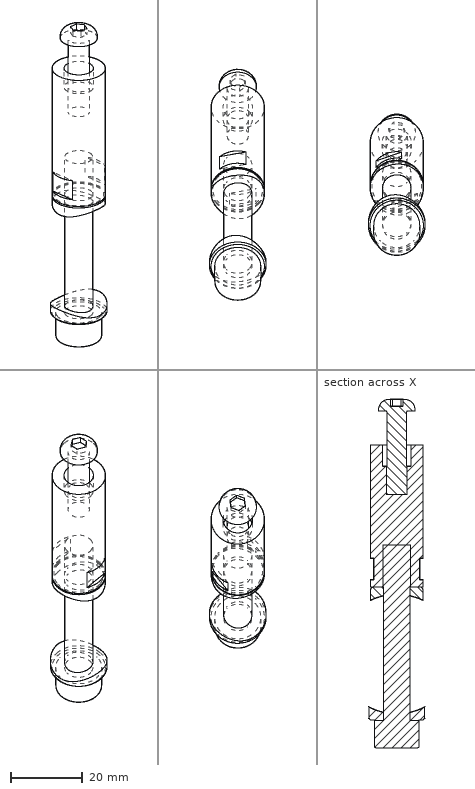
import cadquery as cq
import math

total_height = 98.2
saddle_radius = 16.8

sleeve_diameter = 15.0
sleeve_bottom = 45.4
sleeve_top = 85.3
flat_spacing = 13.0
flat_bottom = 47.4
flat_height = 6.0
top_bore_diameter = 8.2
top_bore_depth = 6.0

button_diameter = 10.5
button_height = 3.3
button_rim_height = 0.9
button_bulge = 0.6
button_shank_diameter = 6.0
button_thread_depth = 7.9
button_fillet = 0.3
hex_width = 4.0
hex_depth = 2.0
crown_flat_diameter = 5.5

cap_diameter = 13.0
cap_height = 8.0
cap_fillet = 0.8
cap_shank_diameter = 8.0
cap_thread_depth = 11.8

upper_washer_diameter = sleeve_diameter
upper_washer_thin = 2.1
lower_washer_diameter = 16.0
lower_washer_thin = 1.8
washer_chamfer = 0.5

button_seat = total_height - button_height
button_end = sleeve_top - top_bore_depth - button_thread_depth
cap_end = sleeve_bottom + cap_thread_depth


def rod(diameter, bottom, top):
    """Upright cylinder on the Z axis between two levels."""
    return cq.Workplane("XY").workplane(offset=bottom).circle(diameter / 2).extrude(top - bottom)


def make_sleeve():
    body = rod(sleeve_diameter, sleeve_bottom, sleeve_top)
    body = body.cut(rod(top_bore_diameter, sleeve_top - top_bore_depth, sleeve_top))
    body = body.cut(rod(button_shank_diameter, button_end, sleeve_top))
    body = body.cut(rod(cap_shank_diameter, sleeve_bottom, cap_end))
    for side in (-1, 1):
        recess = cq.Workplane("XY").box(
            sleeve_diameter, sleeve_diameter, flat_height, centered=(True, True, False)
        )
        body = body.cut(recess.translate((0, side * (flat_spacing + sleeve_diameter) / 2, flat_bottom)))
    return body


def make_button_screw():
    rim_radius = button_diameter / 2
    rim_top = button_seat + button_rim_height
    crown_radius = crown_flat_diameter / 2
    shank_radius = button_shank_diameter / 2
    chord_x = crown_radius - rim_radius
    chord_z = total_height - rim_top
    chord = math.hypot(chord_x, chord_z)
    arc_middle = (
        (rim_radius + crown_radius) / 2 + button_bulge * chord_z / chord,
        (rim_top + total_height) / 2 - button_bulge * chord_x / chord,
    )
    screw = (
        cq.Workplane("XZ")
        .moveTo(0, button_end)
        .lineTo(shank_radius, button_end)
        .lineTo(shank_radius, button_seat - button_fillet)
        .radiusArc((shank_radius + button_fillet, button_seat), button_fillet)
        .lineTo(rim_radius, button_seat)
        .lineTo(rim_radius, rim_top)
        .threePointArc(arc_middle, (crown_radius, total_height))
        .lineTo(0, total_height)
        .close()
        .revolve(360, (0, 0, 0), (0, 1, 0))
    )
    return cut_hex_socket(screw)


def cut_hex_socket(screw):
    hex_corner_diameter = hex_width / math.cos(math.pi / 6)
    socket = (
        cq.Workplane("XY")
        .workplane(offset=total_height - hex_depth)
        .polygon(6, hex_corner_diameter)
        .extrude(hex_depth)
        .rotate((0, 0, 0), (0, 0, 1), 30)
    )
    return screw.cut(socket)


def make_cap_screw():
    head = rod(cap_diameter, 0, cap_height).faces("<Z").edges().fillet(cap_fillet)
    return head.union(rod(cap_shank_diameter, cap_height, cap_end))


def make_saddle_washer(diameter, seat, thin, direction):
    """Washer with a chamfered flat seat and a concave saddle; direction is +1 for a saddle facing up."""
    saddle_sagitta = saddle_radius - math.sqrt(saddle_radius**2 - (diameter / 2) ** 2)
    tips = seat + direction * (thin + saddle_sagitta)
    seat_face = "<Z" if direction > 0 else ">Z"
    blank = rod(diameter, min(seat, tips), max(seat, tips)).faces(seat_face).chamfer(washer_chamfer)
    tube = (
        cq.Workplane("YZ")
        .center(0, seat + direction * (thin + saddle_radius))
        .circle(saddle_radius)
        .extrude(diameter, both=True)
    )
    bore = rod(cap_shank_diameter, cap_height, cap_end)
    return blank.cut(tube).cut(bore)


sleeve = make_sleeve()
button_screw = make_button_screw()
cap_screw = make_cap_screw()
upper_washer = make_saddle_washer(upper_washer_diameter, sleeve_bottom, upper_washer_thin, -1)
lower_washer = make_saddle_washer(lower_washer_diameter, cap_height, lower_washer_thin, 1)

result = cq.Compound.makeCompound([
    sleeve.val(),
    button_screw.val(),
    cap_screw.val(),
    upper_washer.val(),
    lower_washer.val(),
])